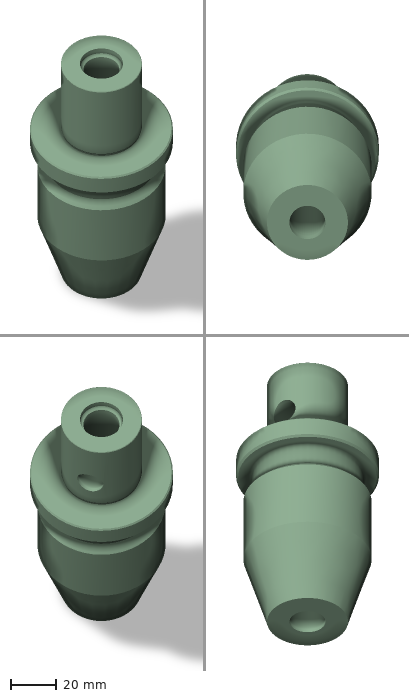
import cadquery as cq
import math

total_height = 129.0
flange_top = 89.0
flange_thickness = 10.0
flange_bottom = flange_top - flange_thickness
shoulder_top = 69.0
nose_top = 34.2

shank_radius = 36.0 / 2
flange_radius = 63.5 / 2
neck_radius = 50.0 / 2
body_radius = 57.0 / 2
tip_radius = shank_radius
shoulder_height = body_radius - neck_radius

shank_chamfer = 0.3
flange_top_chamfer = 0.6
flange_bottom_chamfer = 0.9
neck_fillet = 1.0

undercut_height = 1.3
undercut_radius = shank_radius - 0.4
undercut_mouth_radius = 37.9 / 2
undercut_floor = flange_top - 0.3

bore_radius = 16.0 / 2
counterbore_radius = 19.1 / 2
counterbore_depth = 3.0
seat_height = (counterbore_radius - bore_radius) * math.tan(math.radians(30))

side_hole_radius = 12.0 / 2
side_hole_height = 104.6


def revolved_body():
    """Stepped outside with the axial bore, from one half section."""
    seat_top = total_height - counterbore_depth
    fillet_offset = neck_fillet * (1 - math.sqrt(0.5))
    profile = (
        cq.Workplane("XZ")
        .moveTo(bore_radius, 0)
        .lineTo(tip_radius, 0)
        .lineTo(body_radius, nose_top)
        .lineTo(body_radius, shoulder_top - shoulder_height)
        .lineTo(neck_radius, shoulder_top)
        .lineTo(neck_radius, flange_bottom - neck_fillet)
        .threePointArc(
            (neck_radius + fillet_offset, flange_bottom - fillet_offset),
            (neck_radius + neck_fillet, flange_bottom),
        )
        .lineTo(flange_radius - flange_bottom_chamfer, flange_bottom)
        .lineTo(flange_radius, flange_bottom + flange_bottom_chamfer)
        .lineTo(flange_radius, flange_top - flange_top_chamfer)
        .lineTo(flange_radius - flange_top_chamfer, flange_top)
        .lineTo(undercut_mouth_radius, flange_top)
        .lineTo(undercut_radius, undercut_floor)
        .lineTo(undercut_radius, flange_top + undercut_height / 2)
        .lineTo(shank_radius, flange_top + undercut_height)
        .lineTo(shank_radius, total_height - shank_chamfer)
        .lineTo(shank_radius - shank_chamfer, total_height)
        .lineTo(counterbore_radius, total_height)
        .lineTo(counterbore_radius, seat_top)
        .lineTo(bore_radius, seat_top - seat_height)
        .close()
    )
    return profile.revolve(360, (0, 0, 0), (0, 1, 0))


def side_hole():
    """Cutter from the axis out through the +Y wall of the shank."""
    return (
        cq.Workplane("XZ", origin=(0, 0, side_hole_height))
        .circle(side_hole_radius)
        .extrude(-flange_radius)
    )


result = revolved_body().cut(side_hole())